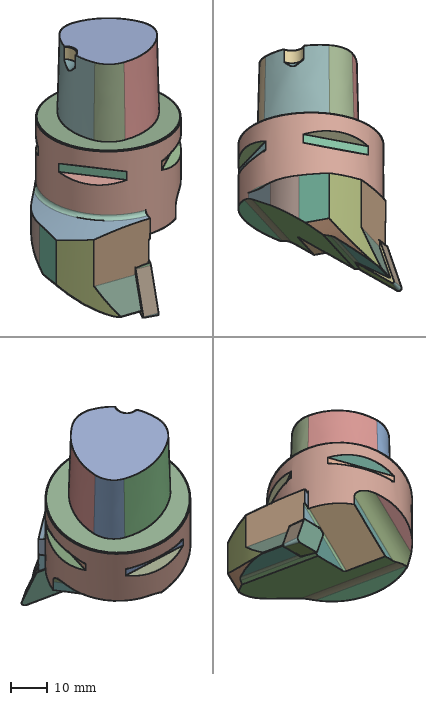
import cadquery as cq
import math


OVERALL_X = 47.0
OVERALL_Y = 46.5
OVERALL_Z = 74.0

FLANGE_DIAMETER = 40.0
FLANGE_RADIUS = FLANGE_DIAMETER / 2
FLANGE_HEIGHT = 20.0
FLANGE_CHAMFER = 0.3

GROOVE_ANGLES = (45, 135, 225, 315)
GROOVE_Z = -8.15
GROOVE_FLOOR_DISTANCE = 17.55
GROOVE_FLOOR_WIDTH = 2.6
GROOVE_SIDE_ANGLE = 30

SHANK_HEIGHT = 24.0
SHANK_TAPER = 1.4
LOBE_CENTRE_DISTANCE = 6.2
LOBE_RADIUS = 8.65
LOBE_ANGLES = (90, 210, 330)
LOBE_HALF_SPAN = 30

NOTCH_RADIUS = 3.3
NOTCH_AXIS_Y = -14.05
NOTCH_DEPTH = 4.0
NOTCH_CHAMFER = 0.2

ARM_MIN_Y = FLANGE_RADIUS - OVERALL_Y
ARM_MAX_X = 25.5
ARM_TANGENT_ANGLE = 37.5
ARM_CORNER_RADIUS = 16.3
ARM_FRONT_END_X = 16.1
ARM_BULGE = (22.3, -18.0)
ARM_OUTER_END_Y = -11.0

CONE_ANGLE = 15
NECK_FILLET = 1.3
CONE_OUTER_RADIUS = 44.4

UNDERSIDE_LEFT_Z = -19.45
UNDERSIDE_ANGLE = 15
UNDERSIDE_BEND = (-12.1, -21.6)
UNDERSIDE_BEND_RADIUS = 10.0
INSERT_STEP_START = (13.2, -41.0)
INSERT_STEP_END = (15.8, -41.6)
INSERT_STEP_RADIUS = 4.45
ARM_TIP = (25.5, -48.1)
OUTER_SIDE_X = 22.3
OUTER_BEND_Z = -37.8

FRONT_BOTTOM_Z = -37.8
BELLY_POINT = (-20.6, -43.45)
BELLY_END_Y = -12.2
ARM_BOTTOM_Z = -47.9
RAKE_Y = -0.4
RAKE_FILLET = 0.6
BLOCK_BACK_Y = 12.05
BLOCK_BOTTOM_Z = -27.9
BLOCK_FILLET = 4.4

INSERT_POINT_ANGLE = 35
INSERT_INSCRIBED_RADIUS = 4.7
INSERT_NOSE_RADIUS = 0.8
INSERT_THICKNESS = 4.65
INSERT_CLEARANCE = 5
INSERT_EDGE_ANGLE = 17.5
INSERT_MAX_X = OVERALL_X - FLANGE_RADIUS
INSERT_MIN_Z = SHANK_HEIGHT - OVERALL_Z

REACH = 59.2
SIDE_MARGIN = 0.75


def polar(radius, angle):
    """Point at a distance and an angle in degrees."""
    turn = math.radians(angle)
    return radius * math.cos(turn), radius * math.sin(turn)


def make_shank():
    """Six arcs: each flank is centred on the opposite lobe's centre."""
    flank_radius = LOBE_RADIUS + LOBE_CENTRE_DISTANCE * math.sqrt(3)
    flank_distance = flank_radius - LOBE_CENTRE_DISTANCE
    lobe_distance = LOBE_CENTRE_DISTANCE + LOBE_RADIUS

    def lobe_end(lobe_angle, side):
        centre = polar(LOBE_CENTRE_DISTANCE, lobe_angle)
        offset = polar(LOBE_RADIUS, lobe_angle + side * LOBE_HALF_SPAN)
        return centre[0] + offset[0], centre[1] + offset[1]

    outline = cq.Workplane("XY").moveTo(*lobe_end(LOBE_ANGLES[0], -1))
    for lobe_angle in LOBE_ANGLES:
        outline = outline.threePointArc(polar(lobe_distance, lobe_angle), lobe_end(lobe_angle, 1))
        flank_angle = lobe_angle + 60
        next_lobe_angle = lobe_angle + 120
        outline = outline.threePointArc(polar(flank_distance, flank_angle), lobe_end(next_lobe_angle, -1))
    return outline.close().extrude(SHANK_HEIGHT, taper=SHANK_TAPER)


def make_notch():
    """Drill shape with a 45 degree point and a chamfered mouth."""
    floor_z = SHANK_HEIGHT - NOTCH_DEPTH
    return (
        cq.Workplane("XZ", origin=(0, NOTCH_AXIS_Y, 0))
        .moveTo(0, SHANK_HEIGHT)
        .lineTo(NOTCH_RADIUS + NOTCH_CHAMFER, SHANK_HEIGHT)
        .lineTo(NOTCH_RADIUS, SHANK_HEIGHT - NOTCH_CHAMFER)
        .lineTo(NOTCH_RADIUS, floor_z)
        .lineTo(0, floor_z - NOTCH_RADIUS)
        .close()
        .revolve(360, (0, 0, 0), (0, 1, 0))
    )


def make_flange():
    flange = cq.Workplane("XY").circle(FLANGE_RADIUS).extrude(-FLANGE_HEIGHT)
    return flange.faces(">Z").edges().chamfer(FLANGE_CHAMFER)


def make_groove(angle):
    """Trapezoid groove that runs straight across the flange's rim."""
    depth = FLANGE_RADIUS - GROOVE_FLOOR_DISTANCE
    floor_half = GROOVE_FLOOR_WIDTH / 2
    mouth_half = floor_half + depth * math.tan(math.radians(GROOVE_SIDE_ANGLE))
    return (
        cq.Workplane("XZ", origin=(0, 0, GROOVE_Z))
        .polyline([
            (GROOVE_FLOOR_DISTANCE, -floor_half),
            (FLANGE_RADIUS, -mouth_half),
            (FLANGE_RADIUS, mouth_half),
            (GROOVE_FLOOR_DISTANCE, floor_half),
        ])
        .close()
        .extrude(FLANGE_RADIUS, both=True)
        .rotate((0, 0, 0), (0, 0, 1), angle)
    )


def make_arm_plan():
    """Arm outline along Z: leaves the flange on a tangent and ends in a curved outer wall."""
    slope = math.radians(ARM_TANGENT_ANGLE)
    tangent_start = (-FLANGE_RADIUS * math.sin(slope), -FLANGE_RADIUS * math.cos(slope))
    corner_x = tangent_start[0] + (tangent_start[1] - ARM_MIN_Y) / math.tan(slope)
    corner_length = ARM_CORNER_RADIUS * math.tan(slope / 2)
    corner_start = (
        corner_x - corner_length * math.cos(slope),
        ARM_MIN_Y + corner_length * math.sin(slope),
    )
    return (
        cq.Workplane("XY", origin=(0, 0, -REACH))
        .moveTo(*tangent_start)
        .lineTo(*corner_start)
        .tangentArcPoint((corner_x + corner_length, ARM_MIN_Y), relative=False)
        .lineTo(ARM_FRONT_END_X, ARM_MIN_Y)
        .threePointArc(ARM_BULGE, (ARM_MAX_X, ARM_OUTER_END_Y))
        .lineTo(ARM_MAX_X, 0)
        .lineTo(FLANGE_RADIUS, 0)
        .threePointArc((0, FLANGE_RADIUS), tangent_start)
        .close()
        .extrude(REACH)
    )


def make_arm_side():
    """Arm outline along X: curved belly, rake face, and the block behind it."""
    top_z = -FLANGE_HEIGHT
    fillet_mid = BLOCK_FILLET * (1 - math.sqrt(0.5))
    side = (
        cq.Workplane("YZ", origin=(-REACH, 0, 0))
        .moveTo(ARM_MIN_Y, top_z)
        .lineTo(ARM_MIN_Y, FRONT_BOTTOM_Z)
        .threePointArc(BELLY_POINT, (BELLY_END_Y, ARM_BOTTOM_Z))
        .lineTo(RAKE_Y, ARM_BOTTOM_Z)
        .lineTo(RAKE_Y, BLOCK_BOTTOM_Z)
        .lineTo(BLOCK_BACK_Y, BLOCK_BOTTOM_Z)
        .lineTo(BLOCK_BACK_Y, top_z - BLOCK_FILLET)
        .threePointArc((BLOCK_BACK_Y + fillet_mid, top_z - fillet_mid), (BLOCK_BACK_Y + BLOCK_FILLET, top_z))
        .close()
        .extrude(2 * REACH)
    )
    inner_corner = cq.NearestToPointSelector((0, RAKE_Y, BLOCK_BOTTOM_Z))
    return side.edges(inner_corner).fillet(RAKE_FILLET)


def make_arm_top():
    """Space below the arm's conical top, with the fillet that joins it to the flange."""
    slope = math.radians(CONE_ANGLE)
    fillet_centre = (FLANGE_RADIUS + NECK_FILLET, -FLANGE_HEIGHT)

    def fillet_point(angle):
        offset = polar(NECK_FILLET, angle)
        return fillet_centre[0] + offset[0], fillet_centre[1] + offset[1]

    fillet_end_angle = 270 - CONE_ANGLE
    fillet_end = fillet_point(fillet_end_angle)
    rim_z = fillet_end[1] - (CONE_OUTER_RADIUS - fillet_end[0]) * math.tan(slope)
    return (
        cq.Workplane("XZ")
        .moveTo(0, -FLANGE_HEIGHT)
        .lineTo(FLANGE_RADIUS, -FLANGE_HEIGHT)
        .threePointArc(fillet_point((180 + fillet_end_angle) / 2), fillet_end)
        .lineTo(CONE_OUTER_RADIUS, rim_z)
        .lineTo(CONE_OUTER_RADIUS, -REACH)
        .lineTo(0, -REACH)
        .close()
        .revolve(360, (0, 0, 0), (0, 1, 0))
    )


def make_front_envelope():
    """Holder outline along Y: sloping underside, step under the insert, and outer side."""
    left_x = -FLANGE_RADIUS - SIDE_MARGIN
    left_z = UNDERSIDE_LEFT_Z + SIDE_MARGIN * math.tan(math.radians(UNDERSIDE_ANGLE))
    envelope = (
        cq.Workplane("XZ", origin=(0, REACH, 0))
        .polyline([
            (left_x, REACH),
            (left_x, left_z),
            UNDERSIDE_BEND,
            INSERT_STEP_START,
            INSERT_STEP_END,
            ARM_TIP,
            (OUTER_SIDE_X, OUTER_BEND_Z),
            (OUTER_SIDE_X, REACH),
        ])
        .close()
        .extrude(2 * REACH)
    )
    for (x, z), radius in (
        (UNDERSIDE_BEND, UNDERSIDE_BEND_RADIUS),
        (INSERT_STEP_END, INSERT_STEP_RADIUS),
    ):
        envelope = envelope.edges(cq.NearestToPointSelector((x, 0, z))).fillet(radius)
    return envelope


def make_insert():
    """Rhombus with rounded corners; its top face lies at Y = 0 and its flanks taper inward."""
    half_angle = math.radians(INSERT_POINT_ANGLE / 2)
    axis_angle = 90 + INSERT_EDGE_ANGLE + INSERT_POINT_ANGLE / 2
    core_radius = INSERT_INSCRIBED_RADIUS - INSERT_NOSE_RADIUS
    half_length = core_radius / math.sin(half_angle)
    half_width = core_radius / math.cos(half_angle)
    nose_to_centre = polar(half_length, axis_angle)
    centre_x = INSERT_MAX_X - INSERT_NOSE_RADIUS + nose_to_centre[0]
    centre_z = INSERT_MIN_Z + INSERT_NOSE_RADIUS + nose_to_centre[1]
    return (
        cq.Workplane("XZ", origin=(centre_x, 0, centre_z))
        .polyline([
            polar(half_length, axis_angle),
            polar(half_width, axis_angle + 90),
            polar(half_length, axis_angle + 180),
            polar(half_width, axis_angle + 270),
        ])
        .close()
        .offset2D(INSERT_NOSE_RADIUS, "arc")
        .extrude(INSERT_THICKNESS, taper=INSERT_CLEARANCE)
    )


def make_holder(insert):
    shank = make_shank().cut(make_notch())
    flange = make_flange()
    for angle in GROOVE_ANGLES:
        flange = flange.cut(make_groove(angle))
    arm = make_arm_plan().intersect(make_arm_side()).intersect(make_arm_top())
    envelope = make_front_envelope()
    upper_part = flange.union(shank).intersect(envelope)
    return upper_part.union(arm.intersect(envelope)).cut(insert).solids()


cutting_insert = make_insert()
holder = make_holder(cutting_insert)

result = cq.Compound.makeCompound([holder.val(), cutting_insert.val()])